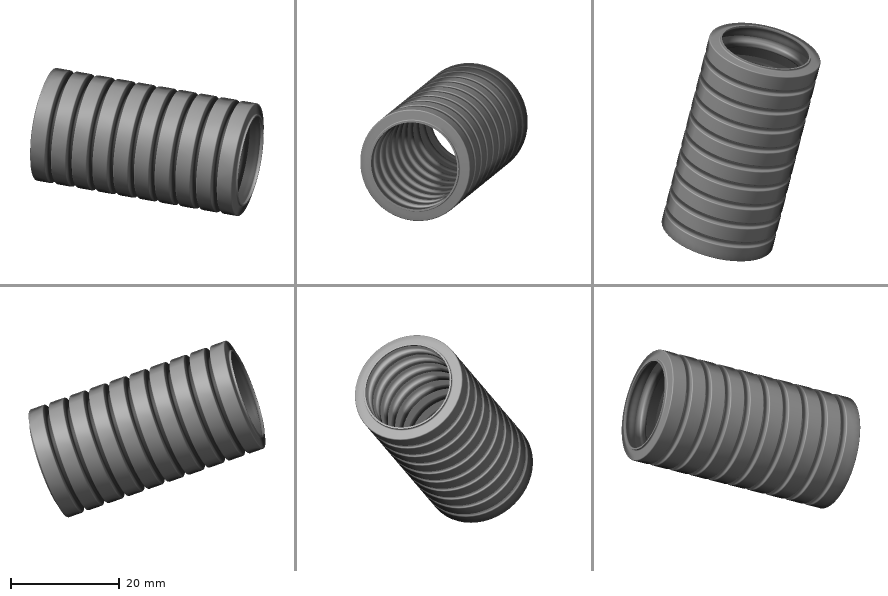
import cadquery as cq
import math

crest_count = 10
pitch = 4.0
crest_diameter = 21.2
valley_diameter = 17.2
wall = 0.3

mid_width = 3.1
flank_angle = 5.0
crest_radius = 0.2
valley_radius = 0.2
inner_valley_radius = valley_radius + wall

length = crest_count * pitch
lean = math.radians(flank_angle)
corrugation_height = (crest_diameter - valley_diameter) / 2
crest_half_width = (mid_width - corrugation_height * math.tan(lean)) / 2
corner_turn = math.pi / 2 - lean
wall_shift = wall * math.tan(corner_turn / 2)


def rounded_corner(profile, corner, direction_in, direction_out, radius):
    """Draw a line up to a corner, then the tangent arc around it if it is rounded."""
    if radius == 0:
        return profile.lineTo(*corner)
    setback = radius * math.tan(corner_turn / 2)
    start = [c - setback * d for c, d in zip(corner, direction_in)]
    end = [c + setback * d for c, d in zip(corner, direction_out)]
    return profile.lineTo(*start).tangentArcPoint(end, relative=False)


def corrugated_body(crest_r, valley_r, top_half_width, crest_rounding, valley_rounding):
    """Solid of revolution bounded by a row of crests and valleys."""
    base_half_width = top_half_width + (crest_r - valley_r) * math.tan(lean)
    along = (1, 0)
    rising = (math.sin(lean), math.cos(lean))
    falling = (math.sin(lean), -math.cos(lean))

    profile = cq.Workplane("XY").moveTo(-length / 2, 0).lineTo(-length / 2, valley_r)
    for index in range(crest_count):
        middle = (index + 0.5) * pitch - length / 2
        valley_start = (middle - base_half_width, valley_r)
        crest_start = (middle - top_half_width, crest_r)
        crest_end = (middle + top_half_width, crest_r)
        valley_end = (middle + base_half_width, valley_r)
        profile = rounded_corner(profile, valley_start, along, rising, valley_rounding)
        profile = rounded_corner(profile, crest_start, rising, along, crest_rounding)
        profile = rounded_corner(profile, crest_end, along, falling, crest_rounding)
        profile = rounded_corner(profile, valley_end, falling, along, valley_rounding)
    profile = profile.lineTo(length / 2, valley_r).lineTo(length / 2, 0).close()
    return profile.revolve(360, (0, 0, 0), (1, 0, 0))


outer_body = corrugated_body(
    crest_diameter / 2, valley_diameter / 2, crest_half_width, crest_radius, valley_radius
)
bore = corrugated_body(
    crest_diameter / 2 - wall,
    valley_diameter / 2 - wall,
    crest_half_width - wall_shift,
    0,
    inner_valley_radius,
)
result = outer_body.cut(bore)